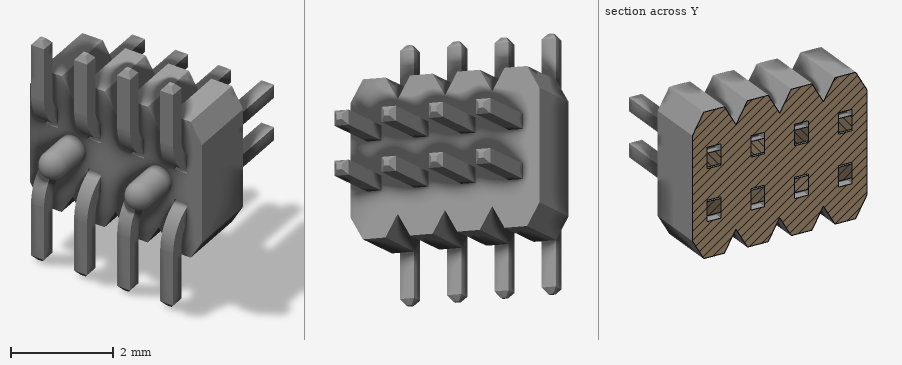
import cadquery as cq
import math


column_count = 4
overall_height = 5.2
housing_width = 4.0
pitch = housing_width / column_count
row_z = pitch / 2
column_xs = [(i - (column_count - 1) / 2) * pitch for i in range(column_count)]

housing_depth = 1.505
housing_height = 3.2
notch_depth = 0.45
notch_slope = math.radians(60)
notch_half_width = notch_depth / math.tan(notch_slope)

peg_diameter = 0.6
peg_length = 1.0
peg_xs = [-pitch, pitch]

pin_size = 0.3
rear_reach = 1.8
foot_reach = 0.5
bend_outer_radius = 0.9
bend_inner_radius = bend_outer_radius - pin_size
tip_length = 0.12
tip_size = 0.11

leg_low_z = row_z - pin_size / 2
leg_high_z = row_z + pin_size / 2
bend_y = bend_outer_radius - foot_reach
bend_z = leg_low_z + bend_outer_radius
bend_exit_z = bend_z - math.sqrt(bend_inner_radius**2 - bend_y**2)


def make_housing_block():
    """Prism whose top and bottom are notched between the columns."""
    crest_z = housing_height / 2
    root_z = crest_z - notch_depth
    flat_half = pitch / 2 - notch_half_width
    upper = [(-housing_width / 2, root_z)]
    for x in column_xs:
        upper += [(x - flat_half, crest_z), (x + flat_half, crest_z), (x + pitch / 2, root_z)]
    lower = [(-x, -z) for x, z in upper]
    return cq.Workplane("XZ").polyline(upper + lower).close().extrude(-housing_depth)


def make_peg(x):
    """Round peg with a hemispherical end, standing on the mounting face."""
    radius = peg_diameter / 2
    shank_length = peg_length - radius
    shank = cq.Workplane("XZ").center(x, 0).circle(radius).extrude(shank_length)
    dome = cq.Workplane("XY").sphere(radius).translate((x, -shank_length, 0))
    return shank.union(dome)


def make_pin_passage(x):
    """Upper-row pin hole, opened up at the mounting face to clear the bend."""
    hole = cq.Workplane("XY").box(pin_size, housing_depth, pin_size, centered=(True, False, True))
    slot_height = bend_exit_z - leg_low_z
    slot = cq.Workplane("XY").box(pin_size, bend_y, slot_height, centered=(True, False, False))
    return hole.translate((x, 0, row_z)).union(slot.translate((x, 0, leg_low_z)))


def make_housing():
    housing = make_housing_block()
    for x in peg_xs:
        housing = housing.union(make_peg(x))
    for x in column_xs:
        passage = make_pin_passage(x)
        housing = housing.cut(passage).cut(passage.mirror("XY"))
    return housing


def make_tip(base_centre, direction):
    """Square pyramid frustum that tapers from the pin section to its end flat."""
    base = cq.Plane(origin=base_centre, xDir=(1, 0, 0), normal=direction)
    return (
        cq.Workplane(base)
        .rect(pin_size, pin_size)
        .workplane(offset=tip_length)
        .rect(tip_size, tip_size)
        .loft()
    )


def make_upper_pin(x):
    """Straight rear leg, quarter bend, and a foot that runs up to a tapered tip."""
    rear_end_y = housing_depth + rear_reach - tip_length
    foot_end_z = overall_height / 2 - tip_length
    foot_inner_y = pin_size - foot_reach
    diagonal = math.sqrt(0.5)
    outer_mid = (bend_y - bend_outer_radius * diagonal, bend_z - bend_outer_radius * diagonal)
    inner_mid = (bend_y - bend_inner_radius * diagonal, bend_z - bend_inner_radius * diagonal)
    shank = (
        cq.Workplane("YZ", origin=(x, 0, 0))
        .moveTo(rear_end_y, leg_low_z)
        .lineTo(bend_y, leg_low_z)
        .threePointArc(outer_mid, (-foot_reach, bend_z))
        .lineTo(-foot_reach, foot_end_z)
        .lineTo(foot_inner_y, foot_end_z)
        .lineTo(foot_inner_y, bend_z)
        .threePointArc(inner_mid, (bend_y, leg_high_z))
        .lineTo(rear_end_y, leg_high_z)
        .close()
        .extrude(pin_size / 2, both=True)
    )
    rear_tip = make_tip((x, rear_end_y, row_z), (0, 1, 0))
    foot_tip = make_tip((x, foot_inner_y - pin_size / 2, foot_end_z), (0, 0, 1))
    return shank.union(rear_tip).union(foot_tip)


housing = make_housing()

pins = []
for column_x in column_xs:
    upper_pin = make_upper_pin(column_x)
    pins += [upper_pin.val(), upper_pin.mirror("XY").val()]

result = cq.Compound.makeCompound([housing.val(), *pins])